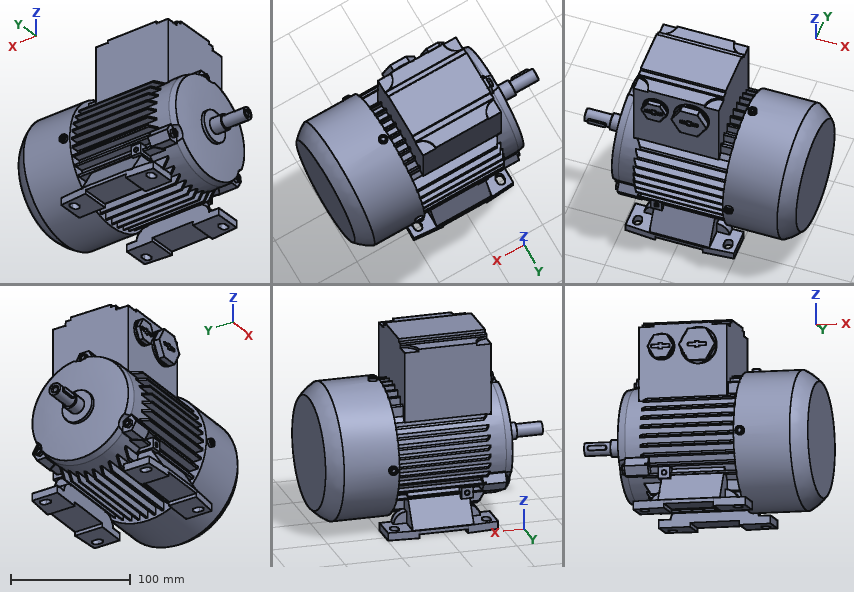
import cadquery as cq
import math


shaft_radius = 5.57
shaft_step_x = 22.9
shoulder_radius = 7.19
collar_x = 34.2
collar_radius = 14.8
centre_hole_radius = 2.5
centre_hole_depth = 10.1
centre_hole_countersink = 1.0
key_start_x = 3.2
key_length = 16.2
key_width = 3.8
key_height = 7.0

dome_start_x = 37.0
dome_middle = (37.7, 33.8)
dome_end_x = 39.0
dome_end_radius = 47.8
flange_x = 45.4
frame_radius = 49.2
fin_pitch = 8.0
fins_each_way = 4
fin_thickness = 1.6
fin_tip_radius = 56.3
fin_bevel_slope = 0.6
fin_start_x = 58.5

cowl_x = 141.1
cowl_rim_x = 189.3
cowl_end_x = 202.5
cowl_radius = 59.1
cowl_end_radius = 48.8
cowl_edge_middle = (196.2, 54.7)
cowl_screw_x = 146.8
cowl_screw_radius = 3.6
cowl_screw_top = 62.0
cowl_screw_chamfer = 0.6
cowl_screw_embedding = 2.0
cowl_socket_radius = 2.2
cowl_socket_depth = 1.6

lug_angles = (90, 210, 330)
lug_end_x = 65.6
lug_tip_radius = 57.0
lug_tip_half_width = 4.5
lug_base_radius = 49.5
lug_base_half_width = 8.5
lug_root_radius = 40.5
lug_notch_radius = 11.1
bolt_circle_radius = 50.8
bolt_head_x = 42.5
bolt_head_corners = 7.7
bolt_socket_radius = 2.2
bolt_socket_depth = 1.2

box_x = 54.9
box_length = 75.3
box_width = 75.1
box_bottom_z = 32.2
lid_side_z = 97.0
lid_step_z = 98.8
lid_step_width = 49.8
lid_crown_z = 101.2
lid_crown_width = 39.9
lid_corner_radius = 12.4
lid_corner_depth = 2.0

plug_z = 77.5
plug_washer_thickness = 1.8
plug_slot_length = 16.2
plug_slot_width = 2.8
plug_slot_depth = 1.0
plug_cross_width = 3.2
plug_cross_height = 5.0
small_plug_x = 74.5
small_plug_radius = 11.04
small_plug_height = 5.7
large_plug_x = 106.3
large_plug_radius = 15.5
large_plug_height = 7.5

foot_bottom_z = -63.0
foot_top_z = -56.0
foot_start_x = 54.9
foot_length = 96.0
foot_inner_y = 33.0
foot_end_outer_y = 58.1
foot_middle_outer_y = 60.25
foot_pad_length = 27.0
foot_relief_height = 3.5
foot_hole_spacing = 80.0
foot_hole_y = 50.0
foot_hole_width = 7.0
foot_hole_length = 10.0
foot_wall_length = 53.0
foot_wall_base_y = 59.0
foot_wall_top_y = 41.1
foot_wall_top_z = -27.1
foot_rib_radius = 11.3
foot_rib_thickness = 7.0
foot_rib_z = -57.1

earth_block_x = 74.3
earth_block_size = 10.0
earth_block_top_z = -26.1
earth_block_outer_y = 49.8
earth_screw_radius = 2.0
earth_screw_depth = 1.0

box_middle_x = box_x + box_length / 2
box_face_y = -box_width / 2
foot_middle_x = foot_start_x + foot_length / 2


def box_between(x_range, y_range, z_range):
    """Axis-aligned block given by its limits."""
    sizes = [high - low for low, high in (x_range, y_range, z_range)]
    corner = (x_range[0], y_range[0], z_range[0])
    return cq.Workplane("XY").box(*sizes, centered=False).translate(corner)


def body_of_revolution():
    """Shaft, end shield, frame core and cowl."""
    return (
        cq.Workplane("XY")
        .lineTo(0, shaft_radius)
        .lineTo(shaft_step_x, shaft_radius)
        .lineTo(shaft_step_x, shoulder_radius)
        .lineTo(collar_x, shoulder_radius)
        .lineTo(collar_x, collar_radius)
        .lineTo(dome_start_x, collar_radius)
        .threePointArc(dome_middle, (dome_end_x, dome_end_radius))
        .lineTo(flange_x, frame_radius)
        .lineTo(cowl_x, frame_radius)
        .lineTo(cowl_x, cowl_radius)
        .lineTo(cowl_rim_x, cowl_radius)
        .threePointArc(cowl_edge_middle, (cowl_end_x, cowl_end_radius))
        .lineTo(cowl_end_x, 0)
        .close()
        .revolve(360, (0, 0, 0), (1, 0, 0))
    )


def shaft_key():
    """Round-ended key standing proud of the shaft on its -Y side."""
    return (
        cq.Workplane("XZ")
        .center(key_start_x + key_length / 2, 0)
        .slot2D(key_length, key_width)
        .extrude(key_height)
    )


def centre_hole():
    """Countersunk hole in the shaft end with a 90 degree conical bottom."""
    mouth_radius = centre_hole_radius + centre_hole_countersink
    return (
        cq.Workplane("XY")
        .lineTo(0, mouth_radius)
        .lineTo(centre_hole_countersink, centre_hole_radius)
        .lineTo(centre_hole_depth, centre_hole_radius)
        .lineTo(centre_hole_depth + centre_hole_radius, 0)
        .close()
        .revolve(360, (0, 0, 0), (1, 0, 0))
    )


def fin(offset):
    """Fin pointing along +Z, its middle plane at Y = offset."""
    base_z = math.sqrt(frame_radius**2 - offset**2)
    tip_z = fin_tip_radius
    bevel = fin_bevel_slope * (tip_z - base_z)
    root_z = base_z - fin_thickness
    return (
        cq.Workplane("XZ", origin=(0, offset, 0))
        .moveTo(fin_start_x, root_z)
        .lineTo(fin_start_x, base_z)
        .lineTo(fin_start_x + bevel, tip_z)
        .lineTo(cowl_x, tip_z)
        .lineTo(cowl_x, root_z)
        .close()
        .extrude(fin_thickness / 2, both=True)
    )


def cooling_fins():
    """Parallel fins in four groups, trimmed to a common tip cylinder."""
    fins = cq.Workplane("XY")
    for step in range(-fins_each_way, fins_each_way + 1):
        upright = fin(step * fin_pitch)
        for angle in (0, 90, 180, 270):
            fins = fins.add(around_axis(upright, angle))
    tip_cylinder = cq.Workplane("YZ").circle(fin_tip_radius).extrude(cowl_x)
    return fins.combine().intersect(tip_cylinder)


def around_axis(shape, angle):
    """Turn a shape about the shaft axis."""
    return shape.rotate((0, 0, 0), (1, 0, 0), angle)


def lug_notch():
    """Clearance in the end shield in front of a lug."""
    return (
        cq.Workplane("YZ")
        .center(lug_tip_radius, 0)
        .circle(lug_notch_radius)
        .extrude(flange_x)
    )


def lug_with_bolt():
    """Tapered clamping lug with a hexagon bolt head."""
    lug = (
        cq.Workplane("YZ", origin=(flange_x, 0, 0))
        .moveTo(lug_root_radius, -lug_base_half_width)
        .lineTo(lug_base_radius, -lug_base_half_width)
        .lineTo(lug_tip_radius, -lug_tip_half_width)
        .lineTo(lug_tip_radius, lug_tip_half_width)
        .lineTo(lug_base_radius, lug_base_half_width)
        .lineTo(lug_root_radius, lug_base_half_width)
        .close()
        .extrude(lug_end_x - flange_x)
    )
    head = (
        cq.Workplane("YZ", origin=(bolt_head_x, bolt_circle_radius, 0))
        .polygon(6, bolt_head_corners)
        .extrude(flange_x - bolt_head_x)
    )
    socket = (
        cq.Workplane("YZ", origin=(bolt_head_x, bolt_circle_radius, 0))
        .circle(bolt_socket_radius)
        .extrude(bolt_socket_depth)
    )
    return lug.union(head).cut(socket)


def cowl_screw():
    """Socket-head screw on the +Y side of the cowl."""
    head_root = cowl_radius - cowl_screw_embedding
    head = (
        cq.Workplane("XZ", origin=(cowl_screw_x, head_root, 0))
        .circle(cowl_screw_radius)
        .extrude(head_root - cowl_screw_top)
        .faces(">Y")
        .chamfer(cowl_screw_chamfer)
    )
    socket = (
        cq.Workplane("XZ", origin=(cowl_screw_x, cowl_screw_top, 0))
        .polygon(6, 2 * cowl_socket_radius)
        .extrude(cowl_socket_depth)
    )
    return head.cut(socket)


def terminal_box():
    """Box with a stepped lid and quarter-round recesses at the lid corners."""
    box = cq.Workplane("XY")
    levels = (
        (box_width, lid_side_z),
        (lid_step_width, lid_step_z),
        (lid_crown_width, lid_crown_z),
    )
    for width, top_z in levels:
        level = box_between(
            (box_x, box_x + box_length),
            (-width / 2, width / 2),
            (box_bottom_z, top_z),
        )
        box = box.union(level)
    recesses = (
        cq.Workplane("XY", origin=(box_middle_x, 0, lid_side_z - lid_corner_depth))
        .rect(box_length, box_width, forConstruction=True)
        .vertices()
        .circle(lid_corner_radius)
        .extrude(lid_corner_depth)
    )
    return box.cut(recesses)


def cable_plug(x, radius, height):
    """Washer and hexagon plug with a screwdriver slot."""
    washer = (
        cq.Workplane("XZ", origin=(x, box_face_y, plug_z))
        .circle(radius)
        .extrude(plug_washer_thickness)
    )
    hexagon = (
        cq.Workplane("XZ", origin=(x, box_face_y, plug_z))
        .polygon(6, 2 * radius)
        .extrude(height)
    )
    slot_floor = box_face_y - height + plug_slot_depth
    face = cq.Workplane("XZ", origin=(x, slot_floor, plug_z))
    slot = face.slot2D(plug_slot_length, plug_slot_width).extrude(plug_slot_depth)
    cross = face.rect(plug_cross_width, plug_cross_height).extrude(plug_slot_depth)
    return washer.union(hexagon).cut(slot).cut(cross)


def foot():
    """Foot on the +Y side: plate, sloped wall, ribs and earthing block."""
    foot_end_x = foot_start_x + foot_length
    plate = (
        cq.Workplane("XY", origin=(0, 0, foot_bottom_z))
        .moveTo(foot_start_x, foot_inner_y)
        .lineTo(foot_start_x, foot_end_outer_y)
        .lineTo(foot_start_x + foot_pad_length, foot_middle_outer_y)
        .lineTo(foot_end_x - foot_pad_length, foot_middle_outer_y)
        .lineTo(foot_end_x, foot_end_outer_y)
        .lineTo(foot_end_x, foot_inner_y)
        .close()
        .extrude(foot_top_z - foot_bottom_z)
    )
    relief = box_between(
        (foot_start_x + foot_pad_length, foot_end_x - foot_pad_length),
        (foot_inner_y, foot_middle_outer_y),
        (foot_bottom_z, foot_bottom_z + foot_relief_height),
    )
    holes = (
        cq.Workplane("XY", origin=(foot_middle_x, foot_hole_y, foot_bottom_z))
        .rarray(foot_hole_spacing, 2, 2, 1)
        .slot2D(foot_hole_length, foot_hole_width, 90)
        .extrude(foot_top_z - foot_bottom_z)
    )
    wall = (
        cq.Workplane("YZ", origin=(foot_middle_x, 0, 0))
        .moveTo(foot_inner_y, foot_top_z)
        .lineTo(foot_wall_base_y, foot_top_z)
        .lineTo(foot_wall_top_y, foot_wall_top_z)
        .lineTo(foot_inner_y, foot_wall_top_z)
        .close()
        .extrude(foot_wall_length / 2, both=True)
    )
    ribs = (
        cq.Workplane("XZ", origin=(foot_middle_x, foot_inner_y, foot_rib_z))
        .rarray(foot_wall_length, 2, 2, 1)
        .circle(foot_rib_radius)
        .extrude(-foot_rib_thickness)
    )
    below_plate_top = box_between(
        (foot_start_x, foot_end_x),
        (foot_inner_y, foot_middle_outer_y),
        (foot_top_z - 2 * foot_rib_radius, foot_top_z),
    )
    earth_block = box_between(
        (earth_block_x, earth_block_x + earth_block_size),
        (foot_inner_y, earth_block_outer_y),
        (earth_block_top_z - earth_block_size, earth_block_top_z),
    )
    earth_screw = (
        cq.Workplane("XZ", origin=(0, earth_block_outer_y, 0))
        .center(earth_block_x + earth_block_size / 2, earth_block_top_z - earth_block_size / 2)
        .circle(earth_screw_radius)
        .extrude(earth_screw_depth)
    )
    upper_ribs = ribs.cut(below_plate_top)
    return (
        plate.cut(relief)
        .cut(holes)
        .union(wall)
        .union(upper_ribs)
        .union(earth_block)
        .cut(earth_screw)
    )


result = body_of_revolution().union(shaft_key()).cut(centre_hole())
for lug_angle in lug_angles:
    result = result.cut(around_axis(lug_notch(), lug_angle))
result = result.union(cooling_fins())
for lug_angle in lug_angles:
    result = result.union(around_axis(lug_with_bolt(), lug_angle))
for screw_angle in (0, 90, 180):
    result = result.union(around_axis(cowl_screw(), screw_angle))
result = result.union(terminal_box())
result = result.union(cable_plug(small_plug_x, small_plug_radius, small_plug_height))
result = result.union(cable_plug(large_plug_x, large_plug_radius, large_plug_height))
result = result.union(foot()).union(foot().mirror("XZ"))